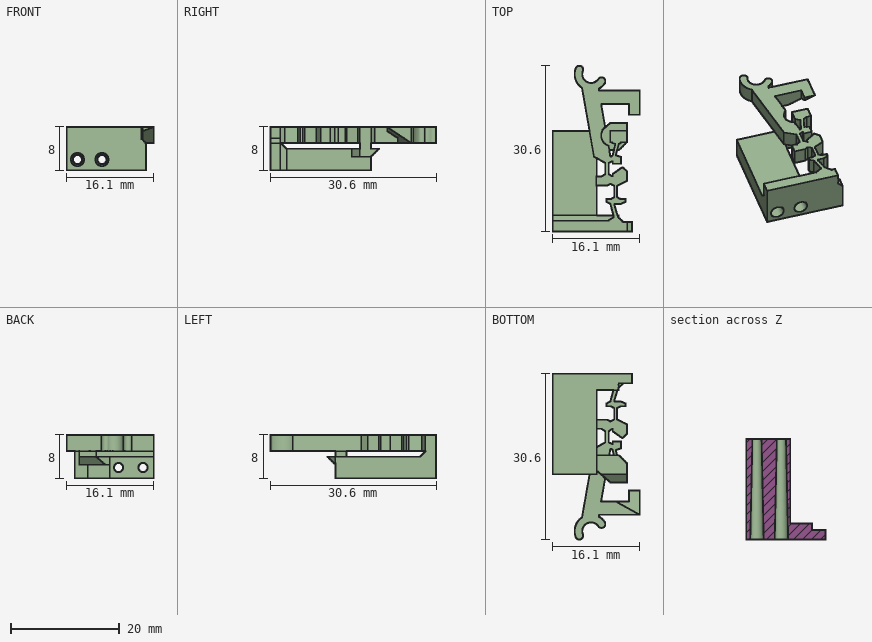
import cadquery as cq
import math

slab_top = 4.0
mech_bottom = 5.0
part_top = 8.0
mech_height = part_top - mech_bottom

slab_width = 8.15
slab_length = 18.55
wall_width = 14.62
wall_thickness = 1.8
wall_top_width = 13.7
backing_width = 12.15
backing_thickness = 2.0
backing_foot = 1.0

hole_front_diameter = 2.45
hole_back_diameter = 1.65
hole_height = 2.0
hole_count = 2
first_hole_x = 2.0
hole_spacing = 4.5

bracket_front = 15.0
bracket_back = 20.05
bracket_thickness = bracket_back - slab_length
anchor_left = 10.65
anchor_right = 13.72
anchor_front = 16.5
anchor_center_x = (anchor_left + anchor_right) / 2

bracket_corner_angle = math.radians(41.0)

upper_strip_left = 9.66
upper_strip_right = 10.35
lower_strip_left = 11.32
lower_strip_right = 11.9
upper_strip_front = 10.6
upper_strip_back = 12.64
lower_strip_front = 6.35
lower_strip_back = 8.42
anchor_strip_width = 0.63
foot_strip_width = 0.73
foot_strip_left = 10.62
foot_strip_back = 5.08
cross_piece_ledge = 5.48

arm_lean = math.radians(10.0)
arm_front = 13.8
arm_front_left = 7.62
arm_front_right = 10.66
notch_center = (10.95, 17.7)
notch_radius = 2.0

hook_right = 16.07
hook_back = 26.0
hook_inner = 23.5
hook_tip = 21.5
hook_finger_width = 2.03
hook_slope_x = 0.37
hook_slope_y = (part_top - mech_bottom) / (hook_back - hook_tip)

cradle_center = (7.08, 29.0)
cradle_inner_radius = 1.6
cradle_outer_radius = 3.05
cradle_start_angle = 159.0
cradle_end_angle = 326.0
cradle_middle_radius = (cradle_inner_radius + cradle_outer_radius) / 2


def plate(points, bottom=mech_bottom, top=part_top):
    """Upright prism on a closed outline of (x, y) points."""
    return cq.Workplane("XY").workplane(offset=bottom).polyline(points).close().extrude(top - bottom)


def block(left, right, front, back, bottom=mech_bottom, top=part_top):
    """Box given by its limits along X, Y and Z."""
    return plate([(left, front), (right, front), (right, back), (left, back)], bottom, top)


def arm_x(front_x, y):
    """X at depth y on a leaning arm side that starts at front_x."""
    return front_x - (y - arm_front) * math.tan(arm_lean)


def make_slab():
    return block(0, slab_width, 0, slab_length, 0, slab_top)


def make_wall():
    face = [
        (0, 0),
        (wall_width, 0),
        (wall_width, mech_bottom),
        (wall_top_width, mech_bottom + wall_width - wall_top_width),
        (wall_top_width, part_top),
        (0, part_top),
    ]
    wall = cq.Workplane("XZ").polyline(face).close().extrude(-wall_thickness)
    foot_depth = backing_thickness + backing_foot
    profile = [
        (0, 0),
        (foot_depth, 0),
        (foot_depth, slab_top),
        (backing_thickness, slab_top + backing_foot),
        (backing_thickness, part_top),
        (0, part_top),
    ]
    backing = cq.Workplane("YZ").polyline(profile).close().extrude(backing_width)
    return wall.union(backing)


def make_hole(x):
    """Tapered cutter for one screw hole."""
    return cq.Workplane(cq.Solid.makeCone(
        hole_front_diameter / 2,
        hole_back_diameter / 2,
        slab_length,
        pnt=cq.Vector(x, 0, hole_height),
        dir=cq.Vector(0, 1, 0),
    ))


def make_bracket():
    """Shelf beside the slab that carries the anchor block."""
    bottom = slab_top - bracket_thickness
    corner = anchor_left - slab_width
    front_corner = anchor_front - bracket_front
    outline = [
        (slab_width, bracket_front),
        (anchor_right - front_corner, bracket_front),
        (anchor_right, anchor_front),
        (anchor_right, bracket_back),
        (anchor_left, bracket_back),
        (slab_width, bracket_back - corner * math.tan(bracket_corner_angle)),
    ]
    shelf = plate(outline, bottom, slab_top)
    underside = [(slab_length, bottom), (bracket_back, bottom), (bracket_back, slab_top)]
    wedge = cq.Workplane("YZ").polyline(underside).close().extrude(wall_width)
    return shelf.cut(wedge)


def make_anchor():
    """Block standing on the bracket, and the strip that runs from it to the knuckle."""
    pillar = block(anchor_left, anchor_right, anchor_front, slab_length, slab_top)
    strip_front_x = 11.0
    strip_front_y = 13.95
    strip_back_x = 11.55
    strip_back_y = 16.14
    flare_right = 12.84
    strip = plate([
        (strip_front_x, strip_front_y),
        (strip_front_x + anchor_strip_width, strip_front_y),
        (strip_back_x + anchor_strip_width, strip_back_y),
        (flare_right, anchor_front),
        (anchor_center_x, anchor_front + anchor_strip_width),
        (anchor_left, anchor_front),
        (strip_back_x, strip_back_y),
    ])
    return pillar.union(strip)


def make_foot():
    """Flared root on the wall, with the slanted strip up to the cross piece."""
    flare_left = 10.15
    flare_right = 13.02
    foot_strip_right = foot_strip_left + foot_strip_width
    return plate([
        (flare_left, backing_thickness),
        (flare_left, wall_thickness),
        (flare_right, wall_thickness),
        (12.05, 2.7),
        (foot_strip_right, foot_strip_back),
        (foot_strip_right, cross_piece_ledge),
        (foot_strip_left, cross_piece_ledge),
        (foot_strip_left, foot_strip_back),
        (11.27, 2.68),
    ])


def make_cross_piece():
    """Small cross piece between the foot strip and the lower strip."""
    left = 9.9
    right = 13.45
    shoulder = 6.02
    return plate([
        (left, cross_piece_ledge),
        (foot_strip_left, foot_strip_back),
        (12.52, foot_strip_back),
        (right, cross_piece_ledge),
        (right, shoulder),
        (12.5, shoulder),
        (lower_strip_right, lower_strip_front),
        (lower_strip_left, lower_strip_front),
        (10.77, shoulder),
        (left, shoulder),
    ])


def make_link():
    """Middle link between the lower strip and the upper strip."""
    left = 8.0
    front = 8.45
    back = 10.17
    slit_x = 11.03
    return plate([
        (left, front),
        (10.03, front),
        (10.65, 8.78),
        (lower_strip_left, lower_strip_back),
        (lower_strip_right, lower_strip_back),
        (anchor_right, 9.33),
        (anchor_right, 11.08),
        (12.86, 11.9),
        (slit_x, upper_strip_front),
        (slit_x, back),
        (upper_strip_right, upper_strip_front),
        (upper_strip_left, upper_strip_front),
        (9.0, back),
        (left, back),
    ])


def make_strips():
    """Straight strips joining the cross piece, the link and the knuckle."""
    lower = block(lower_strip_left, lower_strip_right, lower_strip_front, lower_strip_back)
    upper = block(upper_strip_left, upper_strip_right, upper_strip_front, upper_strip_back)
    return lower.union(upper)


def make_knuckle():
    """Front end of the arm, where the upper strip and the anchor strip meet."""
    toe_left = 11.03
    toe_right = 12.6
    toe_front = 12.47
    return plate([
        (arm_front_left, arm_front),
        (upper_strip_left, upper_strip_back),
        (upper_strip_right, upper_strip_back),
        (toe_left, 12.95),
        (toe_left, toe_front),
        (toe_right, toe_front),
        (toe_right, 13.77),
        (11.63, 14.08),
        (11.0, 14.0),
        (arm_front_right, arm_front),
    ])


def make_arm():
    """Leaning arm, notched to clear the anchor block."""
    cradle_x, cradle_y = cradle_center
    cradle_wall_middle = cradle_y - cradle_middle_radius
    cradle_neck = 26.4
    neck_x = 8.58
    arm = plate([
        (arm_front_left, arm_front),
        (arm_front_right, arm_front),
        (arm_x(arm_front_right, hook_inner), hook_inner),
        (neck_x, hook_back),
        (neck_x, cradle_neck),
        (cradle_x, cradle_wall_middle),
        (arm_x(arm_front_left, cradle_neck), cradle_neck),
    ])
    notch = (
        cq.Workplane("XY").workplane(offset=mech_bottom)
        .center(*notch_center).circle(notch_radius).extrude(mech_height)
    )
    return arm.cut(notch)


def make_hook():
    """Side hook whose underside slopes up to its front right corner."""
    finger_left = hook_right - hook_finger_width
    root = arm_x(arm_front_right, hook_inner)
    inside_arm = root - 1.0
    hook = plate([
        (root, hook_inner),
        (finger_left, hook_inner),
        (finger_left, hook_tip),
        (hook_right, hook_tip),
        (hook_right, hook_back),
        (inside_arm, hook_back),
        (inside_arm, hook_inner),
    ])
    apex = cq.Vector(hook_right, hook_tip, part_top)
    floor = cq.Vector(hook_right, hook_tip, mech_bottom)
    left = floor - cq.Vector(mech_height / hook_slope_x, 0, 0)
    back = floor + cq.Vector(0, mech_height / hook_slope_y, 0)
    triangles = [(floor, left, back), (floor, left, apex), (floor, back, apex), (left, back, apex)]
    faces = [cq.Face.makeFromWires(cq.Wire.makePolygon(list(t) + [t[0]])) for t in triangles]
    relief = cq.Solid.makeSolid(cq.Shell.makeShell(faces))
    return hook.cut(cq.Workplane(relief))


def make_cradle():
    """C-shaped ring segment with rounded tips."""
    def ring_point(radius, angle):
        turn = math.radians(angle)
        return (
            cradle_center[0] + radius * math.cos(turn),
            cradle_center[1] + radius * math.sin(turn),
        )

    def tip_point(angle, outward):
        """Outermost point of the rounded tip at the given end of the ring."""
        middle = ring_point(cradle_middle_radius, angle)
        turn = math.radians(angle + outward * 90.0)
        tip_radius = (cradle_outer_radius - cradle_inner_radius) / 2
        return (middle[0] + tip_radius * math.cos(turn), middle[1] + tip_radius * math.sin(turn))

    middle_angle = (cradle_start_angle + cradle_end_angle) / 2
    return (
        cq.Workplane("XY").workplane(offset=mech_bottom)
        .moveTo(*ring_point(cradle_outer_radius, cradle_start_angle))
        .threePointArc(
            ring_point(cradle_outer_radius, middle_angle),
            ring_point(cradle_outer_radius, cradle_end_angle),
        )
        .threePointArc(tip_point(cradle_end_angle, 1), ring_point(cradle_inner_radius, cradle_end_angle))
        .threePointArc(
            ring_point(cradle_inner_radius, middle_angle),
            ring_point(cradle_inner_radius, cradle_start_angle),
        )
        .threePointArc(tip_point(cradle_start_angle, -1), ring_point(cradle_outer_radius, cradle_start_angle))
        .close()
        .extrude(mech_height)
    )


base = make_slab().union(make_wall()).union(make_bracket())
for hole_index in range(hole_count):
    base = base.cut(make_hole(first_hole_x + hole_index * hole_spacing))

mechanism = make_foot()
for piece in (
    make_cross_piece(),
    make_strips(),
    make_link(),
    make_knuckle(),
    make_anchor(),
    make_arm(),
    make_hook(),
    make_cradle(),
):
    mechanism = mechanism.union(piece)

result = base.union(mechanism).clean()